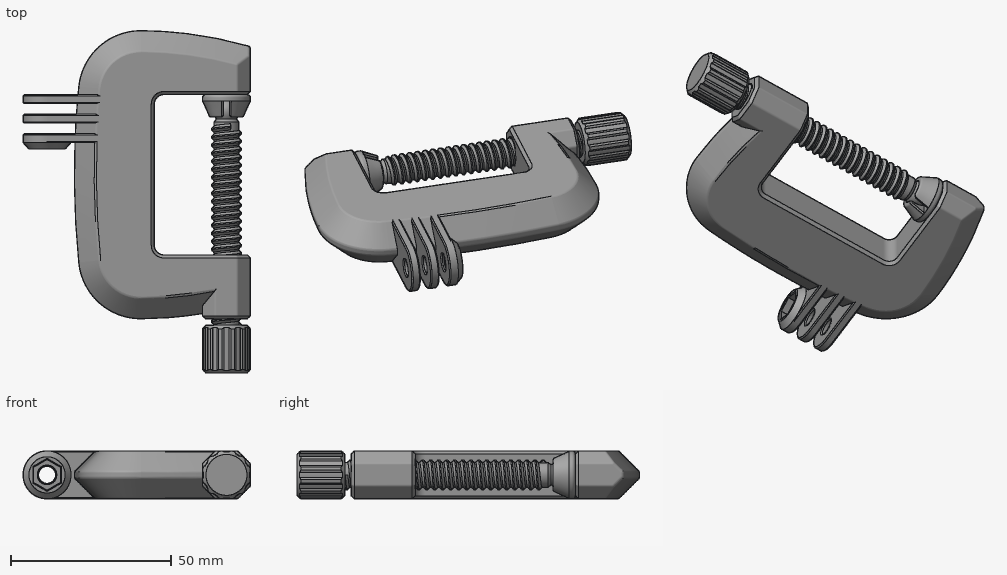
import cadquery as cq
import math


THICKNESS = 15.0
HALF_THICKNESS = THICKNESS / 2
JAW_OPENING = 50.0
JAW_DEPTH = 20.0
THROAT_DEPTH = 30.0
FRAME_LENGTH = 55.0
FREE_END_X = HALF_THICKNESS
BACK_X = FREE_END_X - FRAME_LENGTH
TOP_Y = JAW_OPENING + JAW_DEPTH
BOTTOM_Y = -JAW_DEPTH
MIDDLE_Y = JAW_OPENING / 2
JAW_ARC_RADIUS = 125.0
JAW_ARC_APEX_X = FREE_END_X - 35.0
BACK_ARC_RADIUS = 275.0
OUTER_CORNER_RADIUS = 19.5
RIM_HALF_WIDTH = 1.0
RIM_BEVEL = HALF_THICKNESS - RIM_HALF_WIDTH
END_BEVEL = 4.0
EDGE_FILLET = 1.0
OPENING_CORNER_RADIUS = 3.0
SELECT_MARGIN = 0.1
FACE_CHAMFER = 0.98

FINGER_THICKNESS = 2.8
FINGER_PITCH = 6.1
FINGER_COUNT = 3
MIDDLE_FINGER_Y = 42.5
FINGER_REACH = 16.0
FINGER_AXIS_X = BACK_X - FINGER_REACH + HALF_THICKNESS
FINGER_ROOT_X = -36.0
FINGER_CHAMFER = 0.4
FINGER_HOLE_DIAMETER = 5.3
BOSS_HEIGHT = 2.0
BOSS_END_DIAMETER = 11.3
NUT_ACROSS_FLATS = 8.3
NUT_POCKET_DEPTH = 3.5
NUT_POCKET_CHAMFER = 0.3

CLEARANCE = 0.3
ROOT_RADIUS = 7.8 / 2
THREAD_HEIGHT = 0.8
CREST_WIDTH = 0.4
THREAD_PITCH = 2.5
THREAD_START_Y = -22.05
THREAD_LENGTH = 62.0
THREAD_EMBED = 0.1

KNOB_LENGTH = 15.0
KNOB_END_Y = -36.94
KNOB_TOP_Y = KNOB_END_Y + KNOB_LENGTH
KNOB_CORE_RADIUS = 7.2
KNOB_END_RADIUS = 6.4
RIB_COUNT = 12
RIB_HEIGHT = 0.4
RIB_TOP_WIDTH = 1.06
RIB_BASE_WIDTH = 2.2

BALL_RADIUS = 7.8 / 2
BALL_Y = 44.7
SHANK_END_Y = 42.4
SHANK_TAPER_LENGTH = 1.0
PAD_TOP_Y = JAW_OPENING
PAD_HEIGHT = 7.0
PAD_RADIUS = 7.5
PAD_BASE_RADIUS = 5.25
PAD_RIM_FILLET = 1.0
PAD_RIM_HEIGHT = 2.0
PAD_BASE_FILLET = 0.7
PAD_SLOT_WIDTH = 2.0
PAD_SLOT_CHAMFER = 0.5


def along_y(body):
    """Turn a body built along +Z so that it runs along +Y."""
    return body.rotate((0, 0, 0), (1, 0, 0), -90)


def helical_ridge(inner_radius, start_y, length):
    """Right-handed trapezoidal ridge with 45 degree flanks; its centre starts on the +X side."""
    root = inner_radius - THREAD_EMBED
    crest = inner_radius + THREAD_HEIGHT
    half_crest = CREST_WIDTH / 2
    half_root = half_crest + THREAD_HEIGHT + THREAD_EMBED
    path = cq.Wire.makeHelix(THREAD_PITCH, length, inner_radius)
    ridge = (
        cq.Workplane("XZ")
        .polyline([(root, -half_root), (crest, -half_crest), (crest, half_crest), (root, half_root)])
        .close()
        .sweep(cq.Workplane(path), isFrenet=True)
    )
    return along_y(ridge).translate((0, start_y, 0))


def outer_body():
    """Filled-in frame: bowed outline, 45 degree bevels towards a narrow rim, bevelled free end."""
    overrun_x = FREE_END_X + 10
    overrun_drop = JAW_ARC_RADIUS - math.sqrt(JAW_ARC_RADIUS**2 - (overrun_x - JAW_ARC_APEX_X) ** 2)

    back_centre = (BACK_X + BACK_ARC_RADIUS, MIDDLE_Y)
    jaw_centre = (JAW_ARC_APEX_X, TOP_Y - JAW_ARC_RADIUS)
    dx = jaw_centre[0] - back_centre[0]
    dy = jaw_centre[1] - back_centre[1]
    distance = math.hypot(dx, dy)
    along = (distance**2 + BACK_ARC_RADIUS**2 - JAW_ARC_RADIUS**2) / (2 * distance)
    across = math.sqrt(BACK_ARC_RADIUS**2 - along**2)
    corner_x = back_centre[0] + (along * dx + across * dy) / distance
    corner_y = back_centre[1] + (along * dy - across * dx) / distance

    def mirrored(y):
        return 2 * MIDDLE_Y - y

    overrun_y = TOP_Y - overrun_drop
    outline = (
        cq.Workplane("XY")
        .moveTo(overrun_x, overrun_y)
        .threePointArc((JAW_ARC_APEX_X, TOP_Y), (corner_x, corner_y))
        .threePointArc((BACK_X, MIDDLE_Y), (corner_x, mirrored(corner_y)))
        .threePointArc((JAW_ARC_APEX_X, BOTTOM_Y), (overrun_x, mirrored(overrun_y)))
        .close()
        .extrude(RIM_HALF_WIDTH)
        .edges("|Z")
        .edges("<X")
        .fillet(OUTER_CORNER_RADIUS)
    )
    rim_wire = outline.faces(">Z").wires().val()
    upper = cq.Workplane("XY").add(rim_wire).toPending().extrude(RIM_BEVEL, taper=45)
    upper_half = outline.union(upper)
    body = upper_half.union(upper_half.mirror("XY"))

    end_section = (
        cq.Workplane("XZ", origin=(0, TOP_Y + 1, 0))
        .moveTo(BACK_X - 1, HALF_THICKNESS)
        .lineTo(FREE_END_X - END_BEVEL, HALF_THICKNESS)
        .lineTo(FREE_END_X, HALF_THICKNESS - END_BEVEL)
        .lineTo(FREE_END_X, END_BEVEL - HALF_THICKNESS)
        .lineTo(FREE_END_X - END_BEVEL, -HALF_THICKNESS)
        .lineTo(BACK_X - 1, -HALF_THICKNESS)
        .close()
        .extrude(TOP_Y - BOTTOM_Y + 2)
    )
    return body.intersect(end_section).edges().fillet(EDGE_FILLET)


def screw_block():
    """Octagonal block of the lower jaw around the screw, chamfered at its outer end."""
    return (
        cq.Workplane("XZ")
        .rect(THICKNESS, THICKNESS)
        .extrude(JAW_DEPTH)
        .edges("|Y")
        .chamfer(END_BEVEL)
        .edges("|Y")
        .fillet(EDGE_FILLET)
        .faces("<Y")
        .chamfer(FACE_CHAMFER)
    )


def jaw_opening():
    """Space between the jaws, open towards +X."""
    opening_length = THROAT_DEPTH + 10
    return (
        cq.Workplane("XY", origin=(FREE_END_X - THROAT_DEPTH, 0, -HALF_THICKNESS - 1))
        .rect(opening_length, JAW_OPENING, centered=False)
        .extrude(THICKNESS + 2)
        .edges("|Z and <X")
        .fillet(OPENING_CORNER_RADIUS)
    )


def finger(centre_y):
    """Round-ended plate with chamfered edges and a hole, running from its tip into the frame."""
    return (
        cq.Workplane("XZ", origin=(0, centre_y + FINGER_THICKNESS / 2, 0))
        .moveTo(FINGER_ROOT_X, HALF_THICKNESS)
        .lineTo(FINGER_AXIS_X, HALF_THICKNESS)
        .threePointArc((FINGER_AXIS_X - HALF_THICKNESS, 0), (FINGER_AXIS_X, -HALF_THICKNESS))
        .lineTo(FINGER_ROOT_X, -HALF_THICKNESS)
        .close()
        .moveTo(FINGER_AXIS_X, 0)
        .circle(FINGER_HOLE_DIAMETER / 2)
        .extrude(FINGER_THICKNESS)
        .faces("|Y")
        .edges()
        .chamfer(FINGER_CHAMFER)
    )


def nut_boss(face_y):
    """Conical boss on the outer face of the last finger."""
    buried = FINGER_THICKNESS / 2
    return (
        cq.Workplane("XZ", origin=(FINGER_AXIS_X, face_y + buried, 0))
        .circle(HALF_THICKNESS)
        .extrude(buried + BOSS_HEIGHT)
        .faces("<Y")
        .chamfer(BOSS_HEIGHT, HALF_THICKNESS - BOSS_END_DIAMETER / 2)
    )


def nut_pocket(end_y):
    """Hexagonal nut pocket with a chamfered mouth, and the chamfered bolt hole at its floor."""
    floor_y = end_y + NUT_POCKET_DEPTH
    hole_radius = FINGER_HOLE_DIAMETER / 2
    mouth_across_flats = NUT_ACROSS_FLATS + 2 * NUT_POCKET_CHAMFER

    def section(y):
        return cq.Workplane("XZ", origin=(FINGER_AXIS_X, y, 0))

    def hexagon(y, across_flats):
        across_corners = across_flats / math.cos(math.pi / 6)
        return section(y).transformed(rotate=(0, 0, 30)).polygon(6, across_corners)

    pocket = hexagon(floor_y, NUT_ACROSS_FLATS).extrude(NUT_POCKET_DEPTH)
    mouth = hexagon(end_y, mouth_across_flats).extrude(-NUT_POCKET_CHAMFER, taper=45)
    hole = section(floor_y + FINGER_THICKNESS).circle(hole_radius).extrude(FINGER_THICKNESS)
    countersink = section(floor_y).circle(hole_radius + FINGER_CHAMFER).extrude(-FINGER_CHAMFER, taper=45)
    return pocket.union(mouth).union(hole).union(countersink)


def internal_thread():
    """Cutter for the threaded hole of the lower jaw, in step with the screw thread."""
    minor_radius = ROOT_RADIUS + CLEARANCE
    bore = cq.Workplane("XZ", origin=(0, 1, 0)).circle(minor_radius).extrude(JAW_DEPTH + 2)
    turns = math.ceil(JAW_DEPTH / THREAD_PITCH) + 2
    groove = helical_ridge(minor_radius, THREAD_START_Y, turns * THREAD_PITCH)
    return bore.union(groove)


def make_frame():
    frame = outer_body().union(screw_block()).cut(jaw_opening())
    throat = cq.selectors.BoxSelector(
        (FREE_END_X - THROAT_DEPTH - SELECT_MARGIN, -SELECT_MARGIN, -THICKNESS),
        (FREE_END_X + SELECT_MARGIN, JAW_OPENING + SELECT_MARGIN, THICKNESS),
        boundingbox=True,
    )
    frame = frame.edges(throat).edges("not |Z").chamfer(FACE_CHAMFER)
    last_finger_y = MIDDLE_FINGER_Y - FINGER_PITCH * (FINGER_COUNT - 1) / 2
    for i in range(FINGER_COUNT):
        frame = frame.union(finger(last_finger_y + i * FINGER_PITCH))
    boss_face_y = last_finger_y - FINGER_THICKNESS / 2
    frame = frame.union(nut_boss(boss_face_y)).cut(nut_pocket(boss_face_y - BOSS_HEIGHT))
    return frame.cut(internal_thread())


def ribbed_knob():
    """Round grip with tapered ribs along its length; the end chamfers trim core and ribs alike."""
    rib_radius = KNOB_CORE_RADIUS + RIB_HEIGHT
    rib_root = KNOB_CORE_RADIUS - RIB_HEIGHT
    knob = cq.Workplane("XZ", origin=(0, KNOB_TOP_Y, 0)).circle(KNOB_CORE_RADIUS).extrude(KNOB_LENGTH)
    rib = (
        cq.Workplane("XZ", origin=(0, KNOB_TOP_Y, 0))
        .moveTo(-RIB_BASE_WIDTH / 2, rib_root)
        .lineTo(-RIB_BASE_WIDTH / 2, KNOB_CORE_RADIUS)
        .lineTo(-RIB_TOP_WIDTH / 2, rib_radius)
        .lineTo(RIB_TOP_WIDTH / 2, rib_radius)
        .lineTo(RIB_BASE_WIDTH / 2, KNOB_CORE_RADIUS)
        .lineTo(RIB_BASE_WIDTH / 2, rib_root)
        .close()
        .extrude(KNOB_LENGTH)
    )
    step = 360 / RIB_COUNT
    for i in range(RIB_COUNT):
        knob = knob.union(rib.rotate((0, 0, 0), (0, 1, 0), (i + 0.5) * step))

    envelope_radius = rib_radius + RIB_HEIGHT
    envelope = (
        cq.Workplane("XZ", origin=(0, KNOB_TOP_Y, 0))
        .circle(envelope_radius)
        .extrude(KNOB_LENGTH)
        .faces("|Y")
        .chamfer(envelope_radius - KNOB_END_RADIUS)
    )
    return knob.intersect(envelope)


def make_screw():
    """Threaded shank ending in a ball, with the ribbed knob at its lower end."""
    neck_radius = math.sqrt(BALL_RADIUS**2 - (BALL_Y - SHANK_END_Y) ** 2)
    core = (
        cq.Workplane("XY")
        .moveTo(0, KNOB_TOP_Y)
        .lineTo(ROOT_RADIUS, KNOB_TOP_Y)
        .lineTo(ROOT_RADIUS, SHANK_END_Y - SHANK_TAPER_LENGTH)
        .lineTo(neck_radius, SHANK_END_Y)
        .threePointArc((BALL_RADIUS, BALL_Y), (0, BALL_Y + BALL_RADIUS))
        .close()
        .revolve(360, (0, 0, 0), (0, 1, 0))
    )
    ridge = helical_ridge(ROOT_RADIUS, THREAD_START_Y, THREAD_LENGTH)
    return core.union(ridge).union(ribbed_knob())


def make_pad():
    """Swivelling pad: flat face on the upper jaw, slotted cone gripping the ball of the screw."""
    rim_y = PAD_TOP_Y - PAD_RIM_HEIGHT
    base_y = PAD_TOP_Y - PAD_HEIGHT
    pad = (
        cq.Workplane("XY")
        .moveTo(0, PAD_TOP_Y)
        .lineTo(PAD_RADIUS, PAD_TOP_Y)
        .lineTo(PAD_RADIUS, rim_y)
        .lineTo(PAD_BASE_RADIUS, base_y)
        .lineTo(0, base_y)
        .close()
        .revolve(360, (0, 0, 0), (0, 1, 0))
        .faces(">Y")
        .edges()
        .fillet(PAD_RIM_FILLET)
        .faces("<Y")
        .edges()
        .fillet(PAD_BASE_FILLET)
    )
    socket = cq.Workplane("XY").sphere(BALL_RADIUS + CLEARANCE).translate((0, BALL_Y, 0))
    slot = cq.Workplane("XZ", origin=(0, rim_y, 0)).rect(PAD_SLOT_WIDTH, 2 * PAD_RADIUS + 1).extrude(PAD_HEIGHT)
    slotted = pad.cut(slot)
    slot_region = cq.selectors.BoxSelector(
        (-PAD_SLOT_WIDTH, base_y, -PAD_RADIUS), (PAD_SLOT_WIDTH, rim_y, PAD_RADIUS)
    )
    slot_mouths = slotted.faces(slot_region).faces("|X").edges("not |Z")
    return slot_mouths.chamfer(PAD_SLOT_CHAMFER).cut(socket)


frame = make_frame()
screw = make_screw()
pressure_pad = make_pad()
result = cq.Compound.makeCompound([frame.val(), screw.val(), pressure_pad.val()])